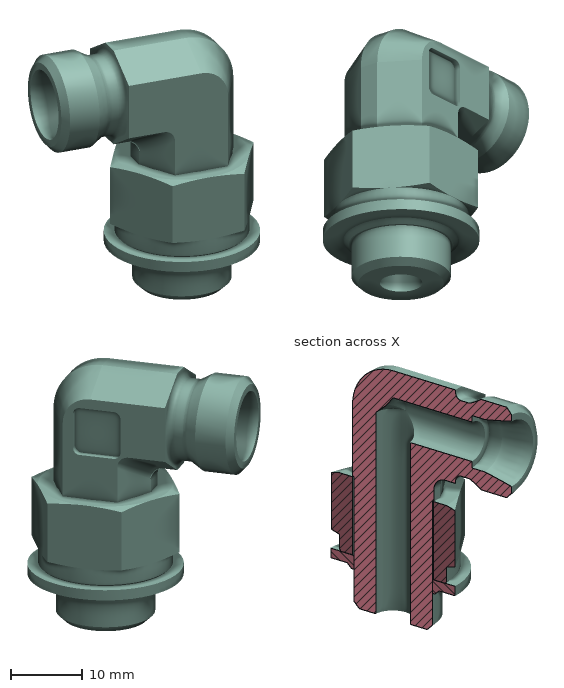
import cadquery as cq
import math


bar_half_width = 7.0
bar_half_height = 7.22
elbow_z = 38.22 - bar_half_height
block_end_y = -11.1
inner_bend_radius = 2.0

pad_side = 7.05
pad_corner_radius = 1.0
pad_center_y = -1.0
pad_center_z = 30.05
pad_depth = 1.0

spigot_radius = 7.0
spigot_end_y = -21.0
spigot_end_radius = 6.0
spigot_chamfer = 0.9
neck_radius = 5.85
neck_root_fillet = 0.9
spigot_shoulder_y = -15.55
shoulder_angle = math.radians(30)
shoulder_fillet = 0.75

bore_radius = 6.0 / 2
drill_tip_angle = math.radians(100)
drill_tip_length = bore_radius / math.tan(drill_tip_angle / 2)
seat_radius = 8.0 / 2
seat_depth = 7.0
mouth_radius = 5.0
mouth_half_angle = math.radians(12)

stud_radius = 7.0
stud_end_radius = 6.0
stud_chamfer = 0.95

lip_bottom_z = 5.8
washer_bottom_z = 6.5
washer_top_z = 8.03
washer_radius = 22.0 / 2
lip_top_radius = 8.15
lip_bottom_radius = 14.7 / 2

nut_width = 19.0
nut_hex_bottom_z = 10.5
nut_top_z = 20.03
nut_bore_radius = 7.1
nut_edge_chamfer = 0.23
nut_crown_angle = math.radians(15)


def revolved_about_z(points):
    """Solid of revolution about Z from (radius, z) points."""
    return cq.Workplane("XZ").polyline(points).close().revolve(360, (0, 0, 0), (0, 1, 0))


def bar_outline():
    """Corners of the hexagonal bar with both ridges cut flat, going round from the right."""
    corner_height = bar_half_width * math.tan(math.radians(30))
    ridge_height = 2 * corner_height
    flat_half_width = (ridge_height - bar_half_height) / math.tan(math.radians(30))
    upper = [
        (bar_half_width, corner_height),
        (flat_half_width, bar_half_height),
        (-flat_half_width, bar_half_height),
        (-bar_half_width, corner_height),
    ]
    lower = [(-x, -height) for x, height in upper]
    return upper, lower


def make_block():
    upper, lower = bar_outline()
    outline = upper + lower
    spigot_arm = (
        cq.Workplane("XZ", origin=(0, 0, elbow_z)).polyline(outline).close().extrude(-block_end_y)
    )
    stud_arm = (
        cq.Workplane("XY", origin=(0, 0, nut_top_z)).polyline(outline).close().extrude(elbow_z - nut_top_z)
    )
    half_outline = [(bar_half_width, 0)] + upper + [(-bar_half_width, 0)]
    bend = (
        cq.Workplane("XZ", origin=(0, 0, elbow_z))
        .polyline(half_outline)
        .close()
        .revolve(90, (0, 0, 0), (-1, 0, 0))
    )
    arms = spigot_arm.union(stud_arm)
    inner_corner = [
        edge
        for edge in arms.edges().vals()
        if edge.Center().y < 0
        and all(
            math.isclose(vertex.Center().y, vertex.Center().z - elbow_z, abs_tol=0.005)
            for vertex in edge.Vertices()
        )
    ]
    return arms.newObject(inner_corner).fillet(inner_bend_radius).union(bend)


def make_spigot():
    """Spigot profile in (radius, distance from the block end face), revolved about the spigot axis."""
    length = block_end_y - spigot_end_y
    shoulder = block_end_y - spigot_shoulder_y
    cone_start = shoulder - (spigot_radius - neck_radius) / math.tan(shoulder_angle)
    spigot = (
        cq.Workplane("XY")
        .moveTo(0, 0)
        .lineTo(neck_radius + neck_root_fillet, 0)
        .radiusArc((neck_radius, neck_root_fillet), neck_root_fillet)
        .lineTo(neck_radius, cone_start)
        .lineTo(spigot_radius, shoulder)
        .lineTo(spigot_radius, length - spigot_chamfer)
        .lineTo(spigot_end_radius, length)
        .lineTo(0, length)
        .close()
        .revolve(360, (0, 0, 0), (0, 1, 0))
        .edges(cq.selectors.BoxSelector(
            (-spigot_radius, cone_start - 0.05, -spigot_radius),
            (spigot_radius, cone_start + 0.05, spigot_radius),
        ))
        .fillet(shoulder_fillet)
    )
    return spigot.rotate((0, 0, 0), (0, 0, 1), 180).translate((0, block_end_y, elbow_z))


def make_stud():
    return revolved_about_z([
        (0, 0),
        (stud_end_radius, 0),
        (stud_radius, stud_chamfer),
        (stud_radius, nut_top_z),
        (0, nut_top_z),
    ])


def make_spigot_passage():
    """Cone mouth, tube seat and drilled bore with its conical tip, ending just past the elbow corner."""
    cone_depth = (mouth_radius - seat_radius) / math.tan(mouth_half_angle)
    passage = revolved_about_z([
        (0, spigot_end_y),
        (mouth_radius, spigot_end_y),
        (seat_radius, spigot_end_y + cone_depth),
        (seat_radius, spigot_end_y + seat_depth),
        (bore_radius, spigot_end_y + seat_depth),
        (bore_radius, 0),
        (0, drill_tip_length),
    ])
    return passage.rotate((0, 0, 0), (1, 0, 0), -90).translate((0, 0, elbow_z))


def make_stud_passage():
    return revolved_about_z([
        (0, 0),
        (bore_radius, 0),
        (bore_radius, elbow_z),
        (0, elbow_z + drill_tip_length),
    ])


def make_pad_recess():
    return (
        cq.Workplane("YZ", origin=(-bar_half_width, pad_center_y, pad_center_z))
        .rect(pad_side, pad_side)
        .extrude(pad_depth)
        .edges("|X")
        .fillet(pad_corner_radius)
    )


def make_elbow():
    elbow = make_block().union(make_spigot()).union(make_stud())
    return elbow.cut(make_spigot_passage()).cut(make_stud_passage()).cut(make_pad_recess())


def make_washer():
    return revolved_about_z([
        (stud_radius, lip_bottom_z),
        (lip_bottom_radius, lip_bottom_z),
        (lip_top_radius, washer_bottom_z),
        (washer_radius, washer_bottom_z),
        (washer_radius, washer_top_z),
        (stud_radius, washer_top_z),
    ])


def make_nut():
    """Hexagon with crowned corners above a round collar; two corners lie on the Y axis."""
    flat_radius = nut_width / 2
    corner_radius = flat_radius / math.cos(math.radians(30))
    crown_height = (corner_radius - flat_radius) * math.tan(nut_crown_angle)
    hexagon = (
        cq.Workplane("XY", origin=(0, 0, washer_top_z))
        .polygon(6, 2 * corner_radius)
        .extrude(nut_top_z - washer_top_z)
        .rotate((0, 0, 0), (0, 0, 1), 30)
    )
    envelope = revolved_about_z([
        (nut_bore_radius, washer_top_z),
        (flat_radius - nut_edge_chamfer, washer_top_z),
        (flat_radius, washer_top_z + nut_edge_chamfer),
        (flat_radius, nut_hex_bottom_z),
        (corner_radius, nut_hex_bottom_z + crown_height),
        (corner_radius, nut_top_z - crown_height),
        (flat_radius, nut_top_z),
        (nut_bore_radius, nut_top_z),
    ])
    return hexagon.intersect(envelope)


elbow = make_elbow()
washer = make_washer()
nut = make_nut()

result = cq.Compound.makeCompound([elbow.val(), washer.val(), nut.val()])